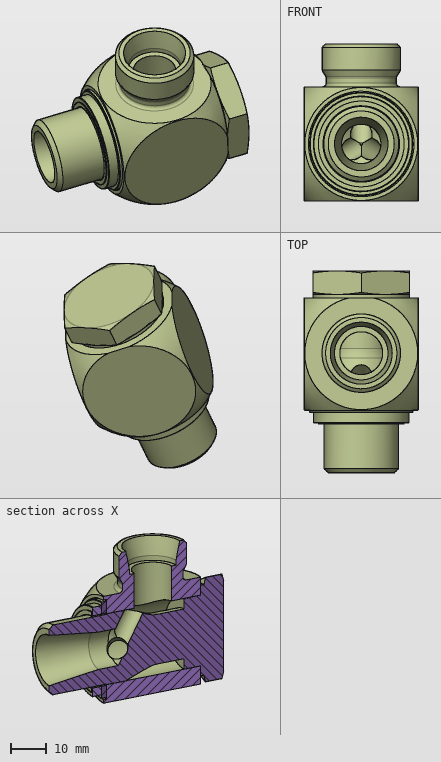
import cadquery as cq
import math


BLOCK_WIDTH = 32.0
FRONT_FACE_Y = -BLOCK_WIDTH / 2
BACK_FACE_Y = 15.5
CORNER_SPHERE_DIA = 45.0
RECESS_DIA = 29.55
RECESS_DEPTH = 1.0

PORT_DIA = 22.0
PORT_TOP_Z = 28.0
PORT_CHAMFER = 1.0
PORT_THREAD_END_Z = 20.6
PORT_NECK_DIA = 19.7
PORT_NECK_CONE_ANGLE = 30
PORT_NECK_FILLET = 1.0

SEAT_MOUTH_DIA = 17.35
SEAT_HALF_ANGLE = 12
TUBE_SOCKET_DIA = 15.0
TUBE_SOCKET_DEPTH = 7.0
PORT_BORE_DIA = 12.0

SHANK_DIA = 20.95
OVERALL_LENGTH = 56.5
TIP_Y = -33.5
TIP_CHAMFER = 1.25
HEAD_ACROSS_FLATS = 27.0
HEAD_BACK_Y = TIP_Y + OVERALL_LENGTH
HEAD_FRONT_Y = 16.45
HEAD_CHAMFER_ANGLE = 15
HEAD_SHOULDER_DIA = 27.1

WAIST_DIA = 15.0
WAIST_BACK_Y = 10.0
WAIST_CURVE_HALF_LENGTH = 1.35
WAIST_CONE_ANGLE = 20

TAPER_MOUTH_DIA = 15.0
TAPER_DEPTH = 16.0
FEED_BORE_DIA = 11.0
FEED_BORE_END_Y = -11.2
DRILL_POINT_ANGLE = 118

CROSS_HOLE_DIA = 6.0
CROSS_HOLE_COUNT = 3
CROSS_HOLE_TILT = 30
CROSS_HOLE_ORIGIN_Y = -11.7

RING_BORE_DIA = 21.4
COLLAR_DIA = 28.85
COLLAR_BACK_Y = FRONT_FACE_Y + RECESS_DEPTH
COLLAR_FRONT_Y = -16.65
RING_EDGE_CHAMFER = 0.15
SEAL_RING_DIA = 26.8
SEAL_RING_FRONT_Y = -19.55
LIP_DIA = 24.0
LIP_FRONT_Y = -19.85


def cylinder_y(dia, y_from, y_to):
    """Cylinder along Y between two positions."""
    return cq.Workplane("XZ", origin=(0, y_from, 0)).circle(dia / 2).extrude(y_from - y_to)


def turned_y(outline):
    """Solid turned about the Y axis from an open outline of (radius, y) points."""
    return outline.close().revolve(360, (0, 0, 0), (0, 1, 0))


def make_housing():
    housing = rounded_block().union(port_stub())
    housing = housing.cut(port_cavity())
    housing = housing.cut(cylinder_y(SHANK_DIA, FRONT_FACE_Y, BACK_FACE_Y))
    return housing.cut(cylinder_y(RECESS_DIA, FRONT_FACE_Y, COLLAR_BACK_Y))


def rounded_block():
    depth = BACK_FACE_Y - FRONT_FACE_Y
    block = cq.Workplane("XY").box(BLOCK_WIDTH, depth, BLOCK_WIDTH)
    block = block.translate((0, (BACK_FACE_Y + FRONT_FACE_Y) / 2, 0))
    return block.intersect(cq.Workplane("XY").sphere(CORNER_SPHERE_DIA / 2))


def port_stub():
    """Threaded end on a filleted neck, turned about Z and rooted inside the block."""
    face_z = BLOCK_WIDTH / 2
    r_thread = PORT_DIA / 2
    r_neck = PORT_NECK_DIA / 2
    cone_height = (r_thread - r_neck) / math.tan(math.radians(PORT_NECK_CONE_ANGLE))
    bend = math.radians(PORT_NECK_CONE_ANGLE)
    tangent = PORT_NECK_FILLET * math.tan(bend / 2)
    neck_top_z = PORT_THREAD_END_Z - cone_height
    fillet_mid = (
        r_neck + PORT_NECK_FILLET * (1 - math.cos(bend / 2)),
        neck_top_z - tangent + PORT_NECK_FILLET * math.sin(bend / 2),
    )
    fillet_end = (r_neck + tangent * math.sin(bend), neck_top_z + tangent * math.cos(bend))
    root_sag = PORT_NECK_FILLET * (1 - math.sqrt(0.5))
    return (
        cq.Workplane("XZ")
        .moveTo(0, 0)
        .lineTo(r_neck + PORT_NECK_FILLET, 0)
        .lineTo(r_neck + PORT_NECK_FILLET, face_z)
        .threePointArc((r_neck + root_sag, face_z + root_sag), (r_neck, face_z + PORT_NECK_FILLET))
        .lineTo(r_neck, neck_top_z - tangent)
        .threePointArc(fillet_mid, fillet_end)
        .lineTo(r_thread, PORT_THREAD_END_Z)
        .lineTo(r_thread, PORT_TOP_Z - PORT_CHAMFER)
        .lineTo(r_thread - PORT_CHAMFER, PORT_TOP_Z)
        .lineTo(0, PORT_TOP_Z)
        .close()
        .revolve(360, (0, 0, 0), (0, 1, 0))
    )


def port_cavity():
    """Conical tube seat, tube socket and flow bore, turned about Z."""
    r_mouth = SEAT_MOUTH_DIA / 2
    r_socket = TUBE_SOCKET_DIA / 2
    seat_depth = (r_mouth - r_socket) / math.tan(math.radians(SEAT_HALF_ANGLE))
    socket_z = PORT_TOP_Z - TUBE_SOCKET_DEPTH
    return (
        cq.Workplane("XZ")
        .moveTo(0, 0)
        .lineTo(PORT_BORE_DIA / 2, 0)
        .lineTo(PORT_BORE_DIA / 2, socket_z)
        .lineTo(r_socket, socket_z)
        .lineTo(r_socket, PORT_TOP_Z - seat_depth)
        .lineTo(r_mouth, PORT_TOP_Z)
        .lineTo(0, PORT_TOP_Z)
        .close()
        .revolve(360, (0, 0, 0), (0, 1, 0))
    )


def make_bolt():
    bolt = bolt_shank().union(bolt_head())
    bolt = bolt.cut(bolt_bore())
    for hole in cross_holes():
        bolt = bolt.cut(hole)
    return bolt


def bolt_shank():
    """Threaded shank, waisted where the port meets it, with a round shoulder under the head."""
    r_shank = SHANK_DIA / 2
    r_waist = WAIST_DIA / 2
    slope = math.radians(WAIST_CONE_ANGLE)
    curve_radius = 2 * WAIST_CURVE_HALF_LENGTH / math.sin(slope)
    curve_mid = (
        r_waist + curve_radius * (1 - math.cos(slope / 2)),
        WAIST_CURVE_HALF_LENGTH - curve_radius * math.sin(slope / 2),
    )
    cone_r = r_waist + curve_radius * (1 - math.cos(slope))
    cone_end_y = -WAIST_CURVE_HALF_LENGTH - (r_shank - cone_r) / math.tan(slope)
    return turned_y(
        cq.Workplane("XY")
        .moveTo(0, TIP_Y)
        .lineTo(r_shank - TIP_CHAMFER, TIP_Y)
        .lineTo(r_shank, TIP_Y + TIP_CHAMFER)
        .lineTo(r_shank, cone_end_y)
        .lineTo(cone_r, -WAIST_CURVE_HALF_LENGTH)
        .threePointArc(curve_mid, (r_waist, WAIST_CURVE_HALF_LENGTH))
        .lineTo(r_waist, WAIST_BACK_Y)
        .lineTo(r_shank, WAIST_BACK_Y)
        .lineTo(r_shank, BACK_FACE_Y)
        .lineTo(HEAD_SHOULDER_DIA / 2, BACK_FACE_Y)
        .lineTo(HEAD_SHOULDER_DIA / 2, HEAD_FRONT_Y)
        .lineTo(0, HEAD_FRONT_Y)
    )


def bolt_head():
    """Hexagon with corners on Z, chamfered at both ends."""
    across_corners = HEAD_ACROSS_FLATS / math.cos(math.pi / 6)
    height = HEAD_BACK_Y - HEAD_FRONT_Y
    hexagon = (
        cq.Workplane("XZ", origin=(0, HEAD_BACK_Y, 0))
        .transformed(rotate=(0, 0, 90))
        .polygon(6, across_corners)
        .extrude(height)
    )
    r_flat = HEAD_ACROSS_FLATS / 2
    r_rim = across_corners / 2
    drop = (r_rim - r_flat) * math.tan(math.radians(HEAD_CHAMFER_ANGLE))
    envelope = turned_y(
        cq.Workplane("XY")
        .moveTo(0, HEAD_FRONT_Y)
        .lineTo(r_flat, HEAD_FRONT_Y)
        .lineTo(r_rim, HEAD_FRONT_Y + drop)
        .lineTo(r_rim, HEAD_BACK_Y - drop)
        .lineTo(r_flat, HEAD_BACK_Y)
        .lineTo(0, HEAD_BACK_Y)
    )
    return hexagon.intersect(envelope)


def bolt_bore():
    """Tapered bore from the threaded end, then a straight feed bore with a drill point."""
    r_feed = FEED_BORE_DIA / 2
    point = r_feed / math.tan(math.radians(DRILL_POINT_ANGLE / 2))
    return turned_y(
        cq.Workplane("XY")
        .moveTo(0, TIP_Y)
        .lineTo(TAPER_MOUTH_DIA / 2, TIP_Y)
        .lineTo(r_feed, TIP_Y + TAPER_DEPTH)
        .lineTo(r_feed, FEED_BORE_END_Y)
        .lineTo(0, FEED_BORE_END_Y + point)
    )


def cross_holes():
    """Tilted holes that join the feed bore to the waist."""
    tilt = math.radians(CROSS_HOLE_TILT)
    hole = cq.Solid.makeCylinder(
        CROSS_HOLE_DIA / 2,
        SHANK_DIA,
        cq.Vector(0, CROSS_HOLE_ORIGIN_Y, 0),
        cq.Vector(0, math.sin(tilt), math.cos(tilt)),
    )
    step = 360 / CROSS_HOLE_COUNT
    axis_start = cq.Vector(0, 0, 0)
    axis_end = cq.Vector(0, 1, 0)
    return [hole.rotate(axis_start, axis_end, step * i) for i in range(CROSS_HOLE_COUNT)]


def make_ring(outer_dia, back_y, front_y, front_chamfer=0):
    """Flat ring around the bolt shank; its outer front edge may be chamfered."""
    ring = cylinder_y(outer_dia, back_y, front_y)
    if front_chamfer > 0:
        ring = ring.faces("<Y").chamfer(front_chamfer)
    return ring.cut(cylinder_y(RING_BORE_DIA, back_y, front_y))


housing = make_housing()
bolt = make_bolt()
collar = make_ring(COLLAR_DIA, COLLAR_BACK_Y, COLLAR_FRONT_Y, RING_EDGE_CHAMFER)
seal_ring = make_ring(SEAL_RING_DIA, COLLAR_FRONT_Y, SEAL_RING_FRONT_Y, RING_EDGE_CHAMFER)
lip_ring = make_ring(LIP_DIA, SEAL_RING_FRONT_Y, LIP_FRONT_Y)

bodies = [housing, bolt, collar, seal_ring, lip_ring]
result = cq.Compound.makeCompound([body.solids().val() for body in bodies])